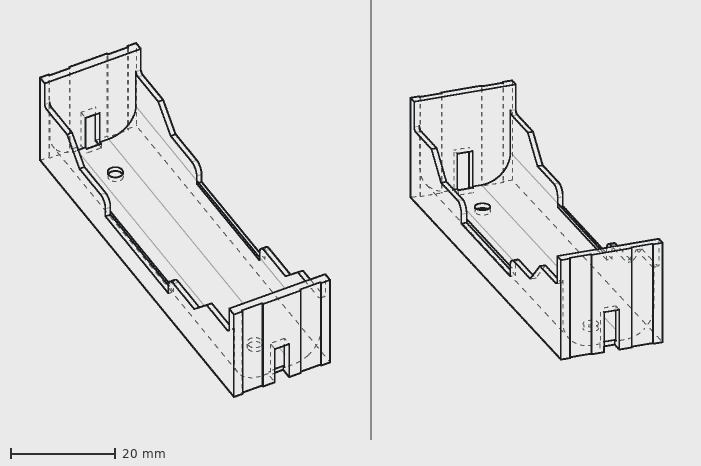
import cadquery as cq
import math

length = 78
width = 21.0
height = 21.1

end_wall = 1.95
side_wall = 1.1
floor = 1.0

floor_strip_half = 3.4
cradle_rim_z = 6.9

shoulder_z = 15.05
shoulder_end = 10.9
step_z = 10.15
step_start = 15.9
notch_z = 6.1
notch_start = 26.4
notch_round = 2.0
corner_fillet = 0.8

groove_depth = 0.3
groove_inner = 4.1
groove_outer = 8.6

slot_width = 3.1
slot_height = 8.5
slot_reach = 2.4
hole_diameter = 3.0
hole_from_end = 11.0

half_length = length / 2
half_width = width / 2
inner_length = length - 2 * end_wall
inner_half_width = half_width - side_wall

flank_run = inner_half_width - floor_strip_half
flank_rise = cradle_rim_z - floor
flank_radius = (flank_run**2 + flank_rise**2) / (2 * flank_rise)


def flank_middle(side):
    """Point halfway along the flank arc on the given side (+1 or -1)."""
    half_angle = math.atan2(flank_rise, flank_run)
    y = floor_strip_half + flank_radius * math.sin(half_angle)
    z = floor + flank_radius * (1 - math.cos(half_angle))
    return (side * y, z)


def cell_cavity():
    """Space between the end walls, open at the top."""
    return (
        cq.Workplane("YZ", origin=(-inner_length / 2, 0, 0))
        .moveTo(-inner_half_width, height)
        .lineTo(-inner_half_width, cradle_rim_z)
        .threePointArc(flank_middle(-1), (-floor_strip_half, floor))
        .lineTo(floor_strip_half, floor)
        .threePointArc(flank_middle(1), (inner_half_width, cradle_rim_z))
        .lineTo(inner_half_width, height)
        .close()
        .extrude(inner_length)
    )


def side_opening():
    """Stepped opening that shapes the top edge of one side wall."""
    inner_x = inner_length / 2
    shoulder_x = half_length - shoulder_end
    step_x = half_length - step_start
    notch_x = half_length - notch_start
    round_x = notch_x + notch_round
    round_z = step_z - notch_round
    mid = notch_round * math.sqrt(0.5)
    fillet_x = inner_x - corner_fillet
    fillet_z = shoulder_z + corner_fillet
    fillet_mid = corner_fillet * math.sqrt(0.5)
    return (
        cq.Workplane("XZ")
        .moveTo(0, height)
        .lineTo(inner_x, height)
        .lineTo(inner_x, fillet_z)
        .threePointArc((fillet_x + fillet_mid, fillet_z - fillet_mid), (fillet_x, shoulder_z))
        .lineTo(shoulder_x, shoulder_z)
        .lineTo(step_x, step_z)
        .lineTo(round_x, step_z)
        .threePointArc((round_x - mid, round_z + mid), (notch_x, round_z))
        .lineTo(notch_x, notch_z)
        .lineTo(0, notch_z)
        .close()
        .extrude(side_wall)
        .mirror("YZ", union=True)
    )


def end_groove(end, side):
    """Shallow vertical groove in an end face."""
    return cq.Workplane("XY").box(
        2 * groove_depth, groove_outer - groove_inner, height, centered=(True, True, False)
    ).translate((end * half_length, side * (groove_inner + groove_outer) / 2, 0))


def contact_slot(end):
    """Slot through an end wall and the adjoining edge of the floor."""
    return cq.Workplane("XY").box(
        2 * slot_reach, slot_width, slot_height, centered=(True, True, False)
    ).translate((end * half_length, 0, 0))


body = cq.Workplane("XY").box(length, width, height, centered=(True, True, False))
body = body.cut(cell_cavity())

body = body.cut(side_opening().translate((0, half_width, 0)))
body = body.cut(side_opening().translate((0, -inner_half_width, 0)))

for end in (-1, 1):
    body = body.cut(contact_slot(end))
    for side in (-1, 1):
        body = body.cut(end_groove(end, side))

mounting_holes = (
    cq.Workplane("XY")
    .pushPoints([(end * (half_length - hole_from_end), 0) for end in (-1, 1)])
    .circle(hole_diameter / 2)
    .extrude(floor)
)
result = body.cut(mounting_holes)